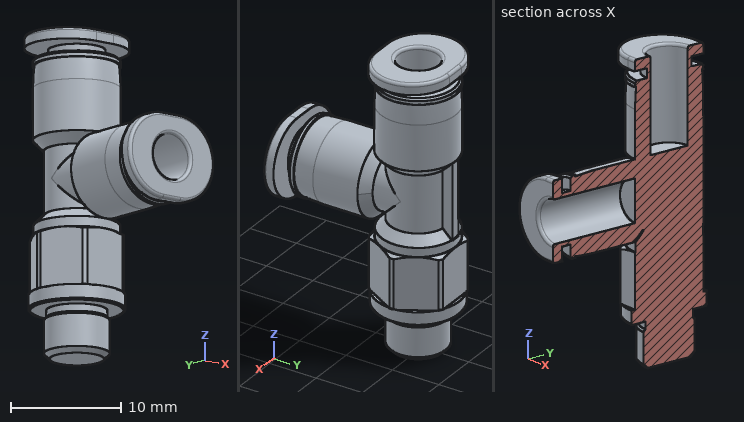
import cadquery as cq

branch_z = 16.4
port_reach = 13.5

body_diameter = 7.98
body_radius = body_diameter / 2
waist_radius = 3.0
taper_start = 8.8
taper_end = 10.88
taper_radius = 3.85
collar_end = 11.48
collar_chamfer = 0.2
rib_thickness = 1.0

button_length = 10.0
button_width = body_diameter
button_thickness = 1.15
button_edge_radius = 0.3
sleeve_radius = 2.6
bore_radius = 2.12
bore_edge_radius = 0.3
bore_depth = port_reach - body_radius

thread_radius = 3.0
thread_chamfer = 0.5
thread_top = 3.6
relief_bottom = 3.83
relief_radius = 2.78
flange_bottom = 4.5
flange_radius = 4.4
flange_chamfer = 0.15
hex_sides = 6
hex_bottom = 5.95
hex_top = 11.45
hex_across_flats = body_diameter
hex_corner_radius = 4.48
hex_chamfer_height = 0.27
stud_collar_radius = 3.95


def revolve_profile(points):
    """Revolve (radius, height) points, closed along the axis, about Z."""
    profile = cq.Workplane("XZ").polyline(points).close()
    return profile.revolve(360, (0, 0, 0), (0, 1, 0))


def make_port():
    """Tube port along +Z, starting at the crossing point of the tee."""
    taper_height = taper_end - taper_start
    taper_drop = body_radius - taper_radius
    taper_middle = (body_radius - taper_drop / 4, taper_start + taper_height / 2)
    shell = (
        cq.Workplane("XZ")
        .moveTo(0, 0)
        .lineTo(waist_radius, 0)
        .lineTo(waist_radius, waist_radius)
        .lineTo(body_radius, body_radius)
        .lineTo(body_radius, taper_start)
        .threePointArc(taper_middle, (taper_radius, taper_end))
        .lineTo(body_radius, taper_end)
        .lineTo(body_radius, collar_end - collar_chamfer)
        .lineTo(body_radius - collar_chamfer, collar_end)
        .lineTo(0, collar_end)
        .close()
        .revolve(360, (0, 0, 0), (0, 1, 0))
    )
    sleeve = cq.Workplane("XY").circle(sleeve_radius).extrude(port_reach - button_thickness)
    button = (
        cq.Workplane("XY")
        .workplane(offset=port_reach - button_thickness)
        .slot2D(button_length, button_width)
        .extrude(button_thickness)
        .faces(">Z")
        .edges()
        .fillet(button_edge_radius)
    )
    return shell.union(sleeve).union(button)


def make_bore():
    """Blind tube hole along +Z with a rounded mouth, matching make_port."""
    mouth_radius = bore_radius + bore_edge_radius
    arc_offset = bore_edge_radius * (1 - 0.5 ** 0.5)
    arc_middle = (bore_radius + arc_offset, port_reach - arc_offset)
    return (
        cq.Workplane("XZ")
        .moveTo(0, port_reach - bore_depth)
        .lineTo(bore_radius, port_reach - bore_depth)
        .lineTo(bore_radius, port_reach - bore_edge_radius)
        .threePointArc(arc_middle, (mouth_radius, port_reach))
        .lineTo(0, port_reach)
        .close()
        .revolve(360, (0, 0, 0), (0, 1, 0))
    )


def place_on_main(shape):
    return shape.translate((0, 0, branch_z))


def place_on_branch(shape):
    return shape.rotate((0, 0, 0), (1, 0, 0), 90).translate((0, 0, branch_z))


def make_stud():
    """Threaded end, sealing flange, collar and the cone up to the waist of the tee."""
    cone_bottom = branch_z - body_radius
    cone_top = cone_bottom + stud_collar_radius - waist_radius
    return revolve_profile([
        (0, 0),
        (thread_radius - thread_chamfer, 0),
        (thread_radius, thread_chamfer),
        (thread_radius, thread_top),
        (relief_radius, relief_bottom),
        (relief_radius, flange_bottom),
        (flange_radius - flange_chamfer, flange_bottom),
        (flange_radius, flange_bottom + flange_chamfer),
        (flange_radius, hex_bottom),
        (stud_collar_radius, hex_bottom),
        (stud_collar_radius, cone_bottom),
        (waist_radius, cone_top),
        (waist_radius, branch_z),
        (0, branch_z),
    ])


def make_hex():
    """Hexagon with flats facing +-Y, rounded corners and a chamfered top."""
    hexagon = (
        cq.Workplane("XY")
        .workplane(offset=hex_bottom)
        .polygon(hex_sides, hex_across_flats, circumscribed=True)
        .extrude(hex_top - hex_bottom)
        .rotate((0, 0, 0), (0, 0, 1), 180 / hex_sides)
    )
    envelope = revolve_profile([
        (0, hex_bottom),
        (hex_corner_radius, hex_bottom),
        (hex_corner_radius, hex_top - hex_chamfer_height),
        (hex_across_flats / 2, hex_top),
        (0, hex_top),
    ])
    return hexagon.intersect(envelope)


def make_rib():
    """Flat rib behind the waist, joining the stud collar to the upper port."""
    return (
        cq.Workplane("XY")
        .box(rib_thickness, body_radius, 2 * body_radius, centered=(True, False, True))
        .translate((0, 0, branch_z))
    )


port = make_port()
bore = make_bore()

result = make_stud().union(make_hex()).union(make_rib())
for place in (place_on_main, place_on_branch):
    result = result.union(place(port))
for place in (place_on_main, place_on_branch):
    result = result.cut(place(bore))